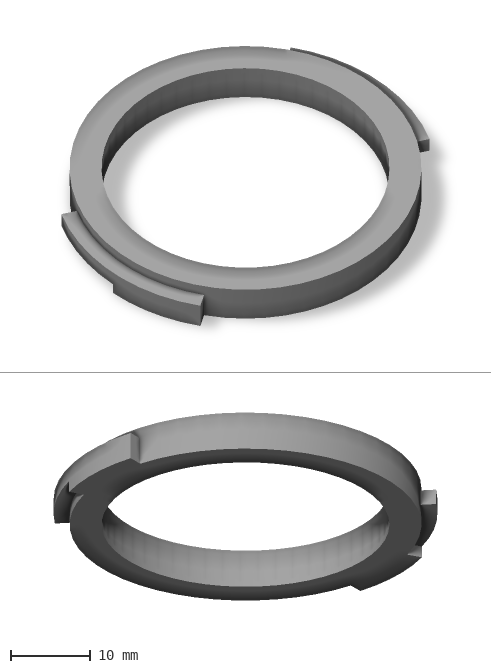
import cadquery as cq

ring_outer_radius = 22.0
ring_inner_radius = 18.0
ring_height = 5.0

lug_outer_radius = 24.0
lug_top = 3.5
lead_in_bottom = 1.5
lug_half_angle = 30.0
lug_directions = (-90.0, 90.0)

lug_root_radius = (ring_inner_radius + ring_outer_radius) / 2


def make_ring():
    return (
        cq.Workplane("XY")
        .circle(ring_outer_radius)
        .circle(ring_inner_radius)
        .extrude(ring_height)
    )


def arc_block(bottom, start_angle, sweep_angle):
    """Ring segment from the lug root to the lug rim, counterclockwise from start_angle."""
    return (
        cq.Workplane("XZ")
        .moveTo(lug_root_radius, bottom)
        .lineTo(lug_outer_radius, bottom)
        .lineTo(lug_outer_radius, lug_top)
        .lineTo(lug_root_radius, lug_top)
        .close()
        .revolve(sweep_angle, (0, 0, 0), (0, 1, 0))
        .rotate((0, 0, 0), (0, 0, 1), start_angle)
    )


def make_lug(direction):
    whole_arc = arc_block(lead_in_bottom, direction - lug_half_angle, 2 * lug_half_angle)
    full_height_half = arc_block(0, direction, lug_half_angle)
    return whole_arc.union(full_height_half)


result = make_ring()
for lug_direction in lug_directions:
    result = result.union(make_lug(lug_direction))